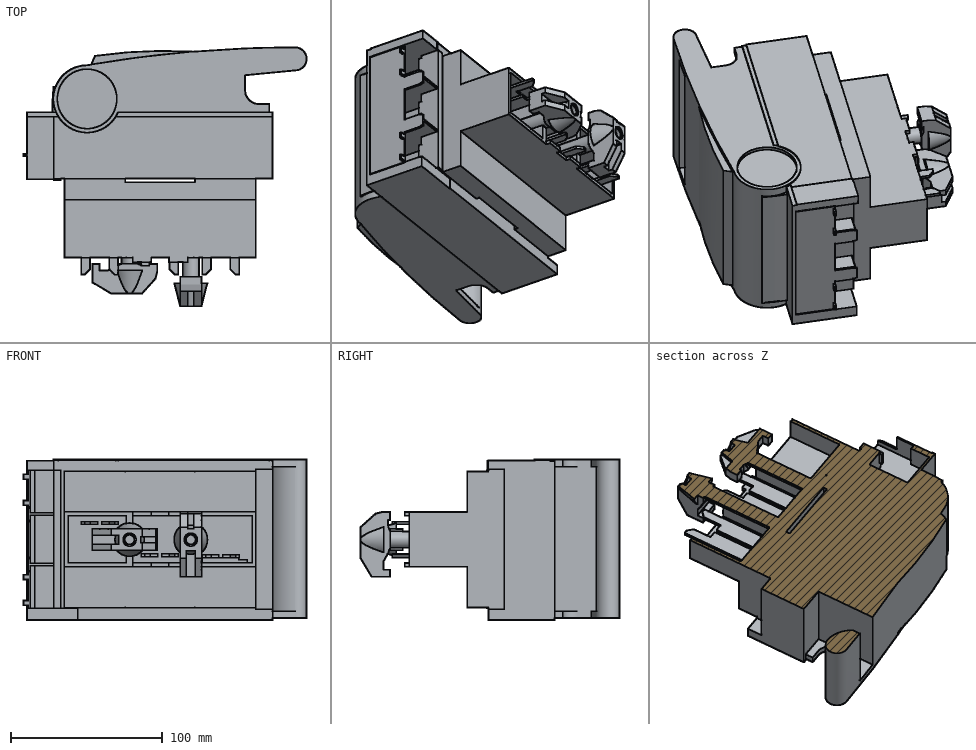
import cadquery as cq
import math


body_left, body_right = 2.5, 164.1
body_front, body_back = 84.1, 127.7
rim_back = 124.8
rim_step = 0.7
body_bottom, body_top = 0.0, 105.2
side_bottom, side_top = 7.8, 98.6
end_part_right = 20.0
end_part_front, end_part_top = 83.5, 105.0
foot_part_right = 36.0
foot_part_setback = 0.4
panel_left = 3.2
panel_back = 125.5
right_recess_left = 153.1
right_recess_back = 94.5
right_recess_bottom, right_recess_top = 7.0, 99.2
strip_width = 4.8
strip_front = 83.0

bay_wall = 1.3
window_back = 98.8
rib_right, rib_front = 7.5, 111.9
hollow_right, hollow_back = 33.5, 125.9
window_ranges = [(side_bottom, 31.7), (41.4, 64.9), (74.5, side_top)]
shelf_levels = [36.5, 69.7]
shelf_thickness = 1.7
window_flare_length, window_flare_rise = 2.8, 1.0
bay_end_back = 96.5
lug_length = 1.9
lug_thickness = 1.9
lug_margin = 1.7
lug_gap = 1.7
pin_centers = [11.4, 28.3, 77.2, 94.4]
pin_tip = 0.0
pin_width = 3.4
pin_thickness = 1.5

base_left, base_right = 27.0, 153.1
base_bottom, base_top = 8.2, 97.9
base_front = 70.1
notch_left, notch_right, notch_depth = 67.1, 112.8, 2.5
box_front = 32.0
box_bottom, box_top = 35.0, 71.2
box_wall = 2.6
partition_thickness = 4.1
tab_starts = [72.0, 95.9]
tab_width = 12.3
tab_length = 3.0
ledge_left, ledge_right, ledge_height = 117.7, 142.0, 3.4
ledge_end_width, ledge_end_height = 5.6, 2.0
ledge_front = 41.0

blade_tip = 20.9
blade_chamfer = 3.5
blade_width = 6.0
blade_root_width = 11.0
blade_root_front = 37.3
blade_thickness = 1.9
blade_pair_span = 24.5
blade_pairs = [(38.0, 64.0), (77.5, 42.7), (ledge_left, 42.1)]

hook_axis_z = 53.0
left_hook_x, left_hook_tip = 70.0, 8.4
right_hook_x, right_hook_tip = 110.2, 0.0
hook_thickness = 14.2
hook_reach = 28.0
short_arm = [(8.2, 0), (17.2, 9.9), (18.3, 14.4), (18.3, 19.5), (12.9, 19.5), (12.9, 18.3), (8.4, 18.3)]
long_arm = [(-9.5, 17.9), (-14.2, 15.3), (-19.8, 15.3), (-19.8, 19.5), (-24.5, 19.5), (-24.5, 7.3),
            (-12.1, 0)]
shaft_radius = 5.5
cone_length = 15.3
cone_back_radius, cone_tip_radius = 11.0, 7.0
neck_radius, neck_length = 7.0, 19.5
slot_depth = 9.9
long_slot_width, long_slot_start = 5.8, 7.3
short_slot_width, short_slot_start = 4.1, 7.3
screw_head_radius, screw_head_depth = 4.3, 1.0
screw_socket_radius, screw_socket_depth = 3.2, 3.7

handle_bottom, handle_top = 1.3, 105.7
drum_x, drum_y, drum_radius = 42.0, 136.5, 22.2
cap_radius, cap_depth = 19.5, 2.2
handle_back = 170.5
tip_radius = 7.6
grip_right = 186.5
tip_x = grip_right - tip_radius
arm_thickness = 4.7
throat_x, throat_y = 146.0, 152.0
throat_radius = 9.1
handle_foot_right, handle_foot_back = 161.9, 133.1
grip_left = 162.2
grip_radius = 19.2
arch_middle = (111.9, 167.6)
crest_root, crest_edge, crest_middle = (44.4, 158.5), (47.2, 164.8), (78.3, 167.8)
crest_bottom, crest_top = 3.2, 103.3
drum_cover_back, drum_cover_crease = 144.5, 136.1
drum_cover_lift = 0.5
drum_cover_bottom, drum_cover_top = 6.5, 99.8


def block(x0, x1, y0, y1, z0, z1):
    """Box between two opposite corners."""
    return cq.Workplane("XY").box(x1 - x0, y1 - y0, z1 - z0, centered=False).translate((x0, y0, z0))


def housing():
    body = block(body_left, body_right, body_front, body_back, body_bottom, body_top)
    rim_cut = block(body_left, body_right, rim_back, body_back, body_top - rim_step, body_top)
    end_cut = block(body_left, end_part_right, body_front, body_back, end_part_top, body_top)
    end_part = block(body_left, end_part_right, end_part_front, body_front, side_top, end_part_top)
    foot_cut = block(body_left, foot_part_right, body_front, body_front + foot_part_setback,
                     body_bottom, side_bottom)
    panel_cut = block(body_left, panel_left, body_front, panel_back, side_bottom, side_top)
    right_recess = block(right_recess_left, body_right, body_front, right_recess_back,
                         right_recess_bottom, right_recess_top)
    strip = block(end_part_right, end_part_right + strip_width, strip_front, body_front,
                  side_bottom, side_top)
    for cut in [rim_cut, end_cut, foot_cut, panel_cut, right_recess]:
        body = body.cut(cut)
    return body.union(end_part).union(strip)


def window(z0, z1):
    """Opening in the end wall, flared towards the front."""
    flare_start = body_front + window_flare_length
    flare_bottom = z0 - window_flare_rise if z0 > side_bottom else z0
    flare_top = z1 + window_flare_rise if z1 < side_top else z1
    outline = [(window_back, z0), (flare_start, z0), (body_front, flare_bottom),
               (body_front, flare_top), (flare_start, z1), (window_back, z1)]
    wall = cq.Workplane("YZ").polyline(outline).close().extrude(bay_wall)
    return wall.translate((panel_left, 0, 0))


def bay_space(z0, z1):
    """Bay, open at the front, widening into the hollow behind its end wall."""
    outline = [(panel_left + bay_wall, body_front), (end_part_right, body_front),
               (end_part_right, bay_end_back), (hollow_right, bay_end_back),
               (hollow_right, hollow_back), (rib_right, hollow_back),
               (rib_right, rib_front), (panel_left + bay_wall, rib_front)]
    return cq.Workplane("XY").polyline(outline).close().extrude(z1 - z0).translate((0, 0, z0))


def cut_terminal_bays(body):
    shelf_half = shelf_thickness / 2
    bay_bottoms = [side_bottom] + [level + shelf_half for level in shelf_levels]
    bay_tops = [level - shelf_half for level in shelf_levels] + [side_top]
    for z0, z1 in zip(bay_bottoms, bay_tops):
        body = body.cut(bay_space(z0, z1))
    for z0, z1 in window_ranges:
        body = body.cut(window(z0, z1))
        middle = (z0 + z1) / 2
        lug_ranges = [(z0 + lug_margin, middle - lug_gap / 2), (middle + lug_gap / 2, z1 - lug_margin)]
        for lug_bottom, lug_top in lug_ranges:
            body = body.union(block(end_part_right, end_part_right + lug_thickness,
                                    bay_end_back, bay_end_back + lug_length, lug_bottom, lug_top))
    for center in pin_centers:
        body = body.union(block(pin_tip, panel_left + bay_wall,
                                window_back, window_back + pin_thickness,
                                center - pin_width / 2, center + pin_width / 2))
    return body


def plug_base():
    base = block(base_left, base_right, base_front, body_front, base_bottom, base_top)
    base = base.cut(block(notch_left, notch_right, body_front - notch_depth, body_front,
                          base_bottom, base_top))
    box = block(base_left, base_right, box_front, base_front, box_bottom, box_top)
    for start in tab_starts:
        box = box.union(block(start, start + tab_width, box_front - tab_length, box_front,
                              box_bottom, box_top))
    pocket_bottom, pocket_top = box_bottom + box_wall, box_top - box_wall
    pocket_front = box_front - tab_length
    pocket = block(base_left + box_wall, base_right - box_wall, pocket_front, base_front,
                   pocket_bottom, pocket_top)
    for x in [left_hook_x, right_hook_x]:
        pocket = pocket.cut(block(x - partition_thickness / 2, x + partition_thickness / 2,
                                  box_front, base_front, box_bottom, box_top))
    ledge = block(ledge_left, ledge_right, ledge_front, base_front,
                  pocket_bottom, pocket_bottom + ledge_height)
    ledge_end = block(ledge_right, ledge_right + ledge_end_width, ledge_front, base_front,
                      pocket_bottom, pocket_bottom + ledge_end_height)
    return base.union(box.cut(pocket)).union(ledge).union(ledge_end)


def blade_pair(left, z_center):
    """Two mirrored blades whose tips are chamfered on the facing sides."""
    outline = [(0, base_front), (0, blade_tip), (blade_width - blade_chamfer, blade_tip),
               (blade_width, blade_tip + blade_chamfer), (blade_width, blade_root_front),
               (blade_root_width, blade_root_front), (blade_root_width, base_front)]
    blade = cq.Workplane("XY").polyline(outline).close().extrude(blade_thickness)
    twin = blade.mirror("YZ").translate((blade_pair_span, 0, 0))
    return blade.union(twin).translate((left, 0, z_center - blade_thickness / 2))


def turned(radius_front, radius_back, y0, y1):
    """Round or tapered piece on the Y axis."""
    outline = [(0, y0), (radius_front, y0), (radius_back, y1), (0, y1)]
    return cq.Workplane("XY").polyline(outline).close().revolve(360, (0, 0, 0), (0, 1, 0))


def hook(shaft_length):
    """Hook with its tip at the origin, shaft along +Y and long arm towards -X."""
    outline = short_arm + [(shaft_radius, neck_length), (-shaft_radius, neck_length)] + long_arm
    arm = cq.Workplane("XY").polyline(outline).close().extrude(hook_thickness / 2, both=True)
    half_long, half_short = long_slot_width / 2, short_slot_width / 2
    arm = arm.cut(block(-hook_reach, -long_slot_start, 0, slot_depth, -half_long, half_long))
    arm = arm.cut(block(short_slot_start, hook_reach, 0, slot_depth, -half_short, half_short))
    shaped = arm.union(turned(cone_tip_radius, cone_back_radius, 0, cone_length))
    shaped = shaped.union(turned(neck_radius, neck_radius, cone_length, neck_length))
    shaped = shaped.intersect(block(-hook_reach, hook_reach, 0, neck_length, -hook_reach, hook_reach))
    shaped = shaped.union(turned(shaft_radius, shaft_radius, cone_length, shaft_length))
    shaped = shaped.cut(turned(screw_head_radius, screw_head_radius, 0, screw_head_depth))
    return shaped.cut(turned(screw_socket_radius, screw_socket_radius, 0, screw_socket_depth))


def cap_disc(radius):
    """Disc at the upper end of the drum, as deep as the cap recess."""
    disc = cq.Workplane("XY").center(drum_x, drum_y).circle(radius).extrude(cap_depth)
    return disc.translate((0, 0, handle_top - cap_depth))


def handle_outline():
    """Side arm: straight foot, throat, rounded tip and a long arched back."""
    return (cq.Workplane("XY")
            .moveTo(drum_x, body_back)
            .lineTo(handle_foot_right, body_back)
            .lineTo(handle_foot_right, handle_foot_back)
            .lineTo(throat_x + throat_radius, handle_foot_back)
            .radiusArc((throat_x, handle_foot_back + throat_radius), throat_radius)
            .lineTo(throat_x, throat_y)
            .lineTo(tip_x, handle_back - 2 * tip_radius)
            .threePointArc((grip_right, handle_back - tip_radius), (tip_x, handle_back))
            .threePointArc(arch_middle, (drum_x, drum_y + drum_radius))
            .close())


def handle():
    height = handle_top - handle_bottom
    arms = handle_outline().extrude(height)
    drum = cq.Workplane("XY").center(drum_x, drum_y).circle(drum_radius).extrude(height)
    shape = arms.union(drum).translate((0, 0, handle_bottom))

    inner_bottom, inner_top = handle_bottom + arm_thickness, handle_top - arm_thickness
    opening = block(throat_x, grip_right, body_back, handle_back, inner_bottom, inner_top)
    grip_front = handle_back - 2 * tip_radius
    nose_run = tip_x - grip_left
    nose_rise = grip_radius - math.sqrt(grip_radius ** 2 - nose_run ** 2)
    grip = (cq.Workplane("XY")
            .moveTo(grip_left, handle_back)
            .lineTo(grip_left, grip_front + nose_rise)
            .radiusArc((tip_x, grip_front), -grip_radius)
            .lineTo(grip_right, grip_front)
            .lineTo(grip_right, handle_back)
            .close()
            .extrude(inner_top - inner_bottom)
            .translate((0, 0, inner_bottom)))
    shape = shape.cut(opening.cut(grip))

    crest = (cq.Workplane("XY")
             .moveTo(drum_x, drum_y)
             .lineTo(*crest_root)
             .lineTo(*crest_edge)
             .threePointArc(crest_middle, arch_middle)
             .close()
             .extrude(crest_top - crest_bottom)
             .translate((0, 0, crest_bottom)))
    drum_left = drum_x - drum_radius
    drum_cover = (cq.Workplane("XY")
                  .moveTo(drum_x, body_back)
                  .lineTo(drum_left - drum_cover_lift, body_back)
                  .lineTo(drum_left - drum_cover_lift, drum_cover_crease)
                  .lineTo(drum_left, drum_cover_back)
                  .lineTo(drum_x, drum_cover_back)
                  .close()
                  .extrude(drum_cover_top - drum_cover_bottom)
                  .translate((0, 0, drum_cover_bottom)))
    return shape.union(crest).union(drum_cover).cut(cap_disc(cap_radius))


def placed_hook(x, tip, turn):
    return hook(base_front - tip).rotate((0, 0, 0), (0, 1, 0), turn).translate((x, tip, hook_axis_z))


housing_and_handle = housing().cut(cap_disc(drum_radius)).union(handle())
result = cut_terminal_bays(housing_and_handle).union(plug_base())
for pair_left, pair_z in blade_pairs:
    result = result.union(blade_pair(pair_left, pair_z))
result = result.union(placed_hook(left_hook_x, left_hook_tip, 0))
result = result.union(placed_hook(right_hook_x, right_hook_tip, -90))